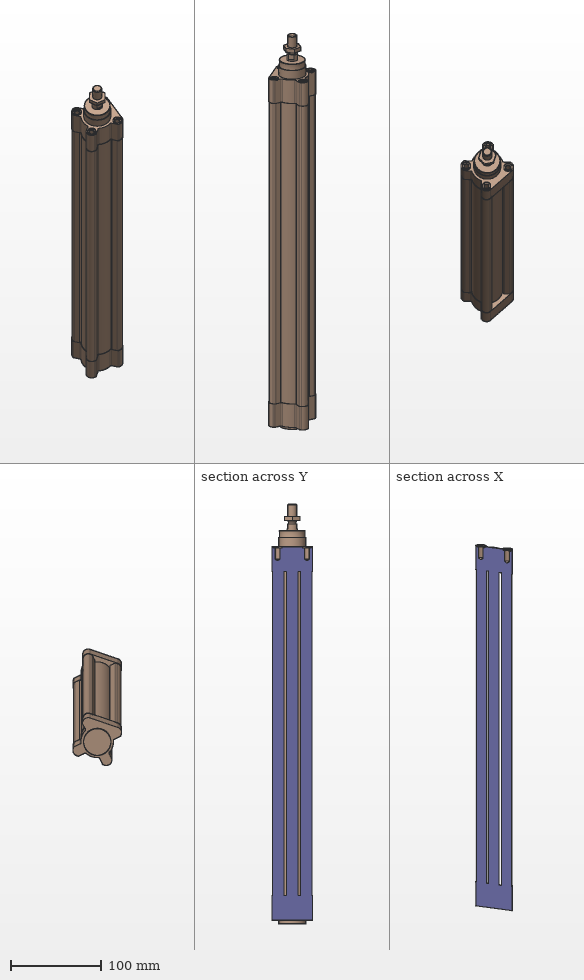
import cadquery as cq
import math

total_length = 465.0
base_boss_height = 3.5
cover_length = 28.0
front_face_z = 418.0
collar_shoulder_z = 428.5
collar_top_z = 436.0
flats_bottom_z = 437.5
rod_shoulder_z = 443.2
thread_start_z = 447.0

cover_width = 45.0
barrel_inset = 0.5
screw_spacing = 32.5
cover_flank_shift = 8.5
flank_step = 0.2
cover_panel_radius = 18.0
barrel_panel_radius = 17.5
barrel_panel_width = 18.0
shoulder_fillet = 1.5
valley_fillet = 1.5
flat_fill_depth = 9.5

counterbore_diameter = 9.5
counterbore_depth = 1.5
socket_rim_diameter = 6.0
socket_diameter = 5.0
socket_depth = 14.0
drill_point_angle = 118.0

collar_diameter = 30.0
collar_rim_chamfer = 0.5
neck_diameter = 29.0
neck_hollow = 0.25

rod_diameter = 12.0
rod_flats_width = 10.0
thread_diameter = 10.0
undercut_diameter = 8.5
undercut_cone_height = 2.0
tip_chamfer = 1.0
nut_width_across_flats = 17.0
nut_height = 4.5
nut_bottom_z = 447.0

tolerance = 0.0005
cover_reach = cover_width / 2
barrel_flank_shift = cover_flank_shift + flank_step
barrel_reach = cover_reach - barrel_inset
screw_offset = screw_spacing / 2
barrel_length = front_face_z - base_boss_height - 2 * cover_length
rod_bottom_z = front_face_z - cover_length


def fillet_at(bar, point, radius):
    """Fillet the upright edges that lie as far from the axis as the given (x, y) point."""
    wanted = math.hypot(*point)

    def is_wanted(edge):
        center = edge.Center()
        return abs(math.hypot(center.x, center.y) - wanted) < tolerance

    edges = [edge for edge in bar.edges("|Z").vals() if is_wanted(edge)]
    return bar.newObject(edges).fillet(radius)


def profile_bar(reach, flank_shift, panel_radius, panel_half_width, bottom_z, length):
    """Four-fold bar: round corner columns, 45-degree flanks and a curved panel on each side."""
    panel_end = math.sqrt(panel_radius**2 - panel_half_width**2)
    flank_end = panel_half_width + flank_shift
    has_wall = flank_end - panel_end > tolerance
    shoulder = reach - flank_shift
    column_radius = reach - screw_offset
    column_mid = screw_offset + column_radius * math.sqrt(0.5)

    def place(point, side):
        angle = math.radians(90 * side)
        u, v = point
        return (u * math.cos(angle) - v * math.sin(angle), u * math.sin(angle) + v * math.cos(angle))

    outline = cq.Workplane("XY").workplane(offset=bottom_z).moveTo(-screw_offset, -reach)
    for side in range(4):
        outline = outline.lineTo(*place((-shoulder, -reach), side))
        outline = outline.lineTo(*place((-panel_half_width, -flank_end), side))
        if has_wall:
            outline = outline.lineTo(*place((-panel_half_width, -panel_end), side))
        outline = outline.threePointArc(
            place((0, -panel_radius), side), place((panel_half_width, -panel_end), side)
        )
        if has_wall:
            outline = outline.lineTo(*place((panel_half_width, -flank_end), side))
        outline = outline.lineTo(*place((shoulder, -reach), side))
        outline = outline.lineTo(*place((screw_offset, -reach), side))
        outline = outline.threePointArc(
            place((column_mid, -column_mid), side), place((reach, -screw_offset), side)
        )
    bar = outline.close().extrude(length)

    bar = fillet_at(bar, (shoulder, reach), shoulder_fillet)
    if not has_wall:
        bar = fillet_at(bar, (panel_half_width, flank_end), valley_fillet)
    return bar


def cover(bottom_z):
    """End cover: profile bar whose +Y side is filled out to a flat face."""
    half_width = (math.sqrt(2 * cover_panel_radius**2 - cover_flank_shift**2) - cover_flank_shift) / 2
    bar = profile_bar(
        cover_reach, cover_flank_shift, cover_panel_radius, half_width, bottom_z, cover_length
    )
    flat_side = cq.Workplane("XY").box(
        screw_spacing, flat_fill_depth, cover_length, centered=(True, False, False)
    ).translate((0, cover_reach - flat_fill_depth, bottom_z))
    return bar.union(flat_side)


def collar():
    """Bearing collar with a shallow concave neck above its shoulder and a chamfered rim."""
    neck_radius = neck_diameter / 2
    neck_top_z = collar_top_z - collar_rim_chamfer
    middle_z = (collar_shoulder_z + neck_top_z) / 2
    return (
        cq.Workplane("XZ")
        .moveTo(0, front_face_z)
        .lineTo(collar_diameter / 2, front_face_z)
        .lineTo(collar_diameter / 2, collar_shoulder_z)
        .lineTo(neck_radius, collar_shoulder_z)
        .threePointArc((neck_radius - neck_hollow, middle_z), (neck_radius, neck_top_z))
        .lineTo(neck_radius - collar_rim_chamfer, collar_top_z)
        .lineTo(0, collar_top_z)
        .close()
        .revolve(360, (0, 0, 0), (0, 1, 0))
    )


def screw_socket():
    """Cutter for one corner: counterbore, chamfered rim and drilled hole, open at z = 0."""
    socket_radius = socket_diameter / 2
    rim_radius = socket_rim_diameter / 2
    rim_bottom = -counterbore_depth - (rim_radius - socket_radius)
    cone_depth = socket_radius / math.tan(math.radians(drill_point_angle / 2))
    return (
        cq.Workplane("XZ")
        .polyline([
            (0, 0),
            (counterbore_diameter / 2, 0),
            (counterbore_diameter / 2, -counterbore_depth),
            (rim_radius, -counterbore_depth),
            (socket_radius, rim_bottom),
            (socket_radius, -socket_depth),
            (0, -socket_depth - cone_depth),
        ])
        .close()
        .revolve(360, (0, 0, 0), (0, 1, 0))
    )


def make_housing():
    """Barrel, two covers, base boss and collar, bored for the piston rod."""
    barrel_bottom_z = base_boss_height + cover_length
    body = profile_bar(
        barrel_reach,
        barrel_flank_shift,
        barrel_panel_radius,
        barrel_panel_width / 2,
        barrel_bottom_z,
        barrel_length,
    )
    body = body.union(cover(base_boss_height)).union(cover(front_face_z - cover_length))
    body = body.union(cq.Workplane("XY").circle(collar_diameter / 2).extrude(base_boss_height))
    body = body.union(collar()).clean()
    for x in (-screw_offset, screw_offset):
        for y in (-screw_offset, screw_offset):
            body = body.cut(screw_socket().translate((x, y, front_face_z)))
    rod_bore = (
        cq.Workplane("XY")
        .workplane(offset=rod_bottom_z)
        .circle(rod_diameter / 2)
        .extrude(collar_top_z - rod_bottom_z)
    )
    return body.cut(rod_bore)


def make_piston_rod():
    """Rod with two wrench flats, an undercut and a chamfered threaded end."""
    rod_radius = rod_diameter / 2
    thread_radius = thread_diameter / 2
    undercut_radius = undercut_diameter / 2
    rod = (
        cq.Workplane("XZ")
        .polyline([
            (0, rod_bottom_z),
            (rod_radius, rod_bottom_z),
            (rod_radius, rod_shoulder_z),
            (undercut_radius, rod_shoulder_z),
            (undercut_radius, thread_start_z - undercut_cone_height),
            (thread_radius, thread_start_z),
            (thread_radius, total_length - tip_chamfer),
            (thread_radius - tip_chamfer, total_length),
            (0, total_length),
        ])
        .close()
        .revolve(360, (0, 0, 0), (0, 1, 0))
    )
    flats_height = rod_shoulder_z - flats_bottom_z
    for direction in (-1, 1):
        flat_cut = cq.Workplane("XY").box(
            rod_diameter, 2 * rod_diameter, flats_height, centered=(True, True, False)
        )
        flat_x = direction * (rod_flats_width + rod_diameter) / 2
        rod = rod.cut(flat_cut.translate((flat_x, 0, flats_bottom_z)))
    return rod


def make_nut():
    """Hexagonal lock nut with corners on +Y and -Y."""
    width_across_corners = nut_width_across_flats / math.cos(math.radians(30))
    return (
        cq.Workplane("XY")
        .workplane(offset=nut_bottom_z)
        .transformed(rotate=(0, 0, 90))
        .polygon(6, width_across_corners)
        .circle(thread_diameter / 2)
        .extrude(nut_height)
    )


housing = make_housing()
piston_rod = make_piston_rod()
nut = make_nut()

result = cq.Compound.makeCompound([housing.val(), piston_rod.val(), nut.val()])